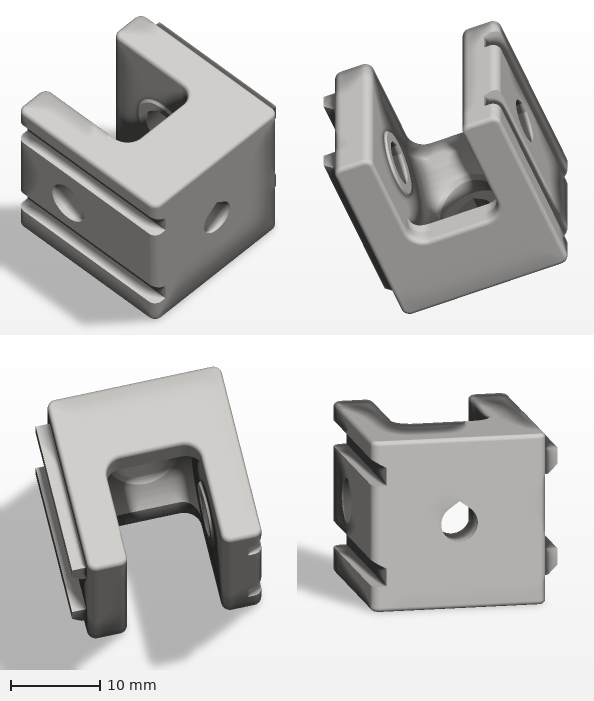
import cadquery as cq
import math

length = 21.4
block_depth = 20.0
height = 19.6
slot_width = 10.85
slot_end_x = 12.8
slot_corner_radius = 2.0
upright_edge_radius = 1.0
rim_radius = 0.5

rail_pitch = 11.58
rail_bottom_z = 4.75
tongue_reach = 1.62
tongue_length = 18.07
tongue_start_x = 1.36
tongue_height = 3.0
tongue_bevel = 1.08
tongue_embed = 0.22
groove_depth = 1.65
groove_mouth_height = 2.95
groove_floor_height = 2.03

axis_x = 7.9
cavity_radius = 8.0
cavity_fillet = 0.9
pad_diameter = 7.25
pad_height = 0.28
pad_taper = 45
cross_hole_diameter = 5.0
cross_hole_roof = 2.64
teardrop_half_angle = math.radians(54)

web_hole_diameter = 4.17
seat_diameter = 7.25
seat_depth = 1.2
seat_chamfer = 0.4

half_depth = block_depth / 2
half_slot = slot_width / 2
rail_offsets = (0, -rail_pitch)


def make_block():
    """U-shaped block with rounded uprights and rounded top and bottom rims."""
    block = cq.Workplane("XY").box(length, block_depth, height, centered=(False, True, True))
    slot = cq.Workplane("XY").box(slot_end_x, slot_width, height, centered=(False, True, True))
    slot = slot.edges("|Z and >X").fillet(slot_corner_radius)
    block = block.cut(slot)
    block = block.edges("|Z").edges("<X or >X").fillet(upright_edge_radius)
    return block.faces("<Z or >Z").edges().fillet(rim_radius)


def make_cavity():
    """Round cavity along Y, rounded at the +Y leg, with a chamfered round seat sunk in its far wall."""
    plane = cq.Workplane(cq.Plane((axis_x, half_slot, 0), xDir=(-1, 0, 0), normal=(0, -1, 0)))
    cavity = plane.circle(cavity_radius).extrude(slot_width)
    cavity = cavity.faces(">Y").edges().fillet(cavity_fillet)
    seat = cq.Workplane("YZ", origin=(axis_x, 0, 0)).circle(seat_diameter / 2)
    cavity = cavity.union(seat.extrude(cavity_radius + seat_depth))
    seat_rim = cq.NearestToPointSelector((axis_x + cavity_radius, 0, 0))
    return cavity.edges(seat_rim).chamfer(seat_chamfer)


def make_pad():
    """Conical pad on the inner face of the +Y leg."""
    base = cq.Workplane("XZ", origin=(axis_x, half_slot, 0)).circle(pad_diameter / 2 + pad_height)
    return base.extrude(pad_height, taper=pad_taper)


def teardrop(plane, diameter, roof=None):
    """Round hole with a peaked top, cut flat at the roof height if one is given."""
    radius = diameter / 2
    peak = radius / math.sin(teardrop_half_angle)
    side = radius * math.cos(teardrop_half_angle)
    rise = radius * math.sin(teardrop_half_angle)
    outline = plane.moveTo(-side, rise).threePointArc((0, -radius), (side, rise))
    if roof is None:
        outline = outline.lineTo(0, peak)
    else:
        half_flat = (peak - roof) * math.tan(teardrop_half_angle)
        outline = outline.lineTo(half_flat, roof).lineTo(-half_flat, roof)
    return outline.close()


def make_cross_hole():
    start = half_depth + tongue_reach
    plane = cq.Workplane("XZ", origin=(axis_x, start, 0))
    return teardrop(plane, cross_hole_diameter, cross_hole_roof).extrude(2 * start)


def make_web_hole():
    plane = cq.Workplane("YZ", origin=(axis_x, 0, 0))
    return teardrop(plane, web_hole_diameter).extrude(length)


def make_tongue():
    top = rail_bottom_z + tongue_height
    tip_y = half_depth + tongue_reach
    root_y = half_depth - tongue_embed
    return (
        cq.Workplane("YZ", origin=(tongue_start_x, 0, 0))
        .moveTo(root_y, top)
        .lineTo(tip_y, top)
        .lineTo(tip_y, rail_bottom_z + tongue_bevel)
        .lineTo(tip_y - tongue_bevel, rail_bottom_z)
        .lineTo(root_y, rail_bottom_z)
        .close()
        .extrude(tongue_length)
    )


def make_groove():
    floor_y = -half_depth + groove_depth
    return (
        cq.Workplane("YZ")
        .moveTo(-half_depth, rail_bottom_z)
        .lineTo(floor_y, rail_bottom_z)
        .lineTo(floor_y, rail_bottom_z + groove_floor_height)
        .lineTo(-half_depth, rail_bottom_z + groove_mouth_height)
        .close()
        .extrude(length)
    )


pad = make_pad()
tongue = make_tongue()
groove = make_groove()

result = make_block().cut(make_cavity()).union(pad).union(pad.mirror("XZ"))
for offset in rail_offsets:
    result = result.union(tongue.translate((0, 0, offset)))
    result = result.cut(groove.translate((0, 0, offset)))
result = result.cut(make_cross_hole()).cut(make_web_hole())